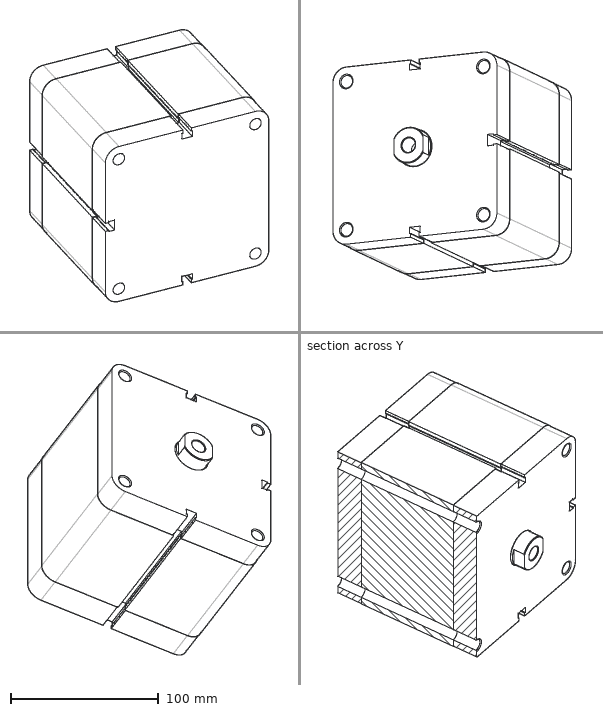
import cadquery as cq

ROD_PROTRUSION = 10.0
TOTAL_LENGTH = 127.0
COVER_LENGTH = 19.8
BODY_LENGTH = TOTAL_LENGTH - ROD_PROTRUSION
BARREL_LENGTH = BODY_LENGTH - 2 * COVER_LENGTH

BARREL_SIDE = 124.0
COVER_SIDE = 123.5
CORNER_CENTER_OFFSET = 51.4

TIE_HOLE_OFFSET = 51.5
TIE_HOLE_DIAMETER = 8.6
TIE_HOLE_CHAMFER = 0.8

COVER_SLOT_MOUTH = 6.4
COVER_SLOT_FLOOR = 7.9
COVER_SLOT_NECK_DEPTH = 2.7
BARREL_SLOT_MOUTH = 5.3
BARREL_SLOT_FLOOR = 6.6
BARREL_SLOT_NECK_DEPTH = 3.7
SLOT_FLOOR_OFFSET = 54.7
SLOT_ANGLES = (0, 90, 180)

ROD_DIAMETER = 24.9
ROD_TIP_CHAMFER = 0.5
ROD_FLAT_WIDTH = 21.6
ROD_FLAT_LENGTH = 8.9
ROD_BORE_DIAMETER = 10.0
ROD_BORE_DEPTH = 15.2
ROD_BORE_CHAMFER = 0.5
DRILL_POINT_DEPTH = 3.0
ROD_HOLE_CHAMFER = 0.5


def slot_cutter(x_start, length, side, mouth, floor, neck_depth):
    """Slot along X in the top face, stepping out to a wider floor below its neck."""
    top = side / 2
    shoulder = top - neck_depth
    return (
        cq.Workplane("YZ", origin=(x_start, 0, 0))
        .polyline([
            (-mouth / 2, top),
            (-mouth / 2, shoulder),
            (-floor / 2, shoulder),
            (-floor / 2, SLOT_FLOOR_OFFSET),
            (floor / 2, SLOT_FLOOR_OFFSET),
            (floor / 2, shoulder),
            (mouth / 2, shoulder),
            (mouth / 2, top),
        ])
        .close()
        .extrude(length)
    )


def slotted_block(x_start, length, side, mouth, floor, neck_depth):
    """Rounded square block with corner holes and a slot on its top, -Y and bottom sides."""
    block = (
        cq.Workplane("YZ", origin=(x_start, 0, 0))
        .rect(side, side)
        .extrude(length)
        .edges("|X")
        .fillet(side / 2 - CORNER_CENTER_OFFSET)
    )
    holes = (
        cq.Workplane("YZ", origin=(x_start, 0, 0))
        .rect(2 * TIE_HOLE_OFFSET, 2 * TIE_HOLE_OFFSET, forConstruction=True)
        .vertices()
        .circle(TIE_HOLE_DIAMETER / 2)
        .extrude(length)
    )
    block = block.cut(holes)
    slot = slot_cutter(x_start, length, side, mouth, floor, neck_depth)
    for angle in SLOT_ANGLES:
        block = block.cut(slot.rotate((0, 0, 0), (1, 0, 0), angle))
    return block


def make_cover(x_start):
    """Plain end cover, slotted and drilled like the barrel."""
    return slotted_block(
        x_start, COVER_LENGTH, COVER_SIDE,
        COVER_SLOT_MOUTH, COVER_SLOT_FLOOR, COVER_SLOT_NECK_DEPTH,
    )


def make_front_cover():
    """Cover with chamfered tie holes and a chamfered hole that the rod fills."""
    cover = make_cover(0)
    tie_hole_rims = cq.selectors.RadiusNthSelector(0)
    cover = cover.faces("<X").edges("%CIRCLE").edges(tie_hole_rims).chamfer(TIE_HOLE_CHAMFER)
    rod_hole = cq.Workplane("YZ").circle(ROD_DIAMETER / 2).extrude(COVER_LENGTH)
    cover = cover.cut(rod_hole)
    rod_hole_rim = cq.selectors.RadiusNthSelector(-1)
    return cover.faces("<X").edges("%CIRCLE").edges(rod_hole_rim).chamfer(ROD_HOLE_CHAMFER)


def make_barrel():
    """Solid middle block, slightly larger in section than the covers."""
    return slotted_block(
        COVER_LENGTH, BARREL_LENGTH, BARREL_SIDE,
        BARREL_SLOT_MOUTH, BARREL_SLOT_FLOOR, BARREL_SLOT_NECK_DEPTH,
    )


def make_rod():
    """Rod ending at the barrel, with two wrench flats and a drilled bore at its tip."""
    tip = -ROD_PROTRUSION
    radius = ROD_DIAMETER / 2
    bore_radius = ROD_BORE_DIAMETER / 2
    bore_end = tip + ROD_BORE_DEPTH
    rod = (
        cq.Workplane("XZ")
        .polyline([
            (bore_end + DRILL_POINT_DEPTH, 0),
            (bore_end, bore_radius),
            (tip + ROD_BORE_CHAMFER, bore_radius),
            (tip, bore_radius + ROD_BORE_CHAMFER),
            (tip, radius - ROD_TIP_CHAMFER),
            (tip + ROD_TIP_CHAMFER, radius),
            (COVER_LENGTH, radius),
            (COVER_LENGTH, 0),
        ])
        .close()
        .revolve(360, (0, 0, 0), (1, 0, 0))
    )
    flat_center_x = tip + ROD_FLAT_LENGTH / 2
    flat_center_y = (ROD_FLAT_WIDTH + radius) / 2
    flat_cutter = cq.Workplane("XY").box(ROD_FLAT_LENGTH, radius, ROD_DIAMETER)
    for side in (-1, 1):
        rod = rod.cut(flat_cutter.translate((flat_center_x, side * flat_center_y, 0)))
    return rod


front_cover = make_front_cover()
barrel = make_barrel()
rear_cover = make_cover(COVER_LENGTH + BARREL_LENGTH)
rod = make_rod()

result = cq.Compound.makeCompound([front_cover.val(), barrel.val(), rear_cover.val(), rod.val()])